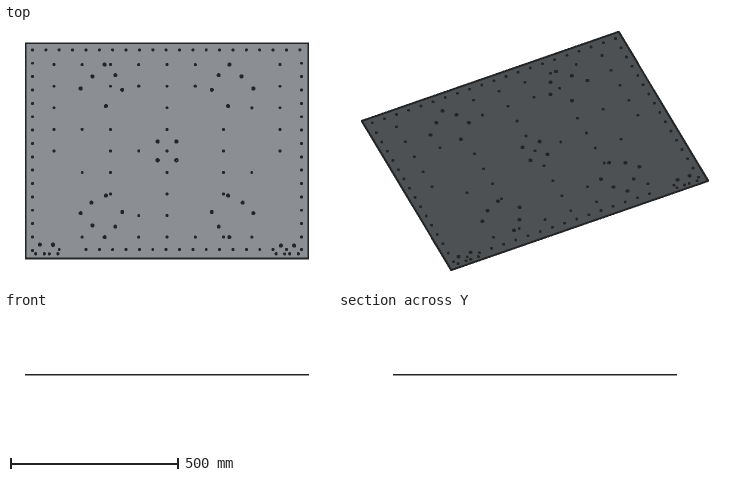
import cadquery as cq
import math

LENGTH = 845.0
WIDTH = 645.0
THICKNESS = 0.41

RIM_HOLE = 3.0
GRID_HOLE = 3.0
CLUSTER_HOLE = 6.0
CENTRE_HOLE = 6.5
BRACKET_HOLE = 3.3
CORNER_HOLE = 6.0
LARGE_CORNER_HOLE = 6.6

RIM_INSET = 20.0
TOP_COUNT = 21
TOP_ROW_SPAN = 799.0
RIM_PITCH = TOP_ROW_SPAN / (TOP_COUNT - 1)
SIDE_COUNT = 15
BOTTOM_ROW_Y = -295.0
BOTTOM_SKIPPED = (0, 1, 3, 20)

GRID_PITCH_X = LENGTH / 10
GRID_PITCH_Y = WIDTH / 10
GRID_ROWS = {
    4: (-4, -3, -2, -1, 0, 1, 4),
    3: (-4, -2, -1, 0, 1, 4),
    2: (-4, 0, 3, 4),
    1: (-4, -3, -2, 0, 2, 4),
    0: (-4, -2, -1, 0, 2, 4),
    -1: (-3, -2, 0, 2, 3),
    -2: (-2, 0, 2),
    -3: (-1, 0),
    -4: (-3, -1, 0, 1, 2, 3),
}

CLUSTER_OUTER = 314.0
CLUSTER_TIP = 315.0
CLUSTER_MIDDLE = 269.5
CLUSTER_INNER = 224.0
CLUSTER_HALF_WIDTH = 51.0
CLUSTER_INNER_HALF_WIDTH = 35.0

CENTRE_SPACING = 56.0

BRACKET_ROW_Y = -308.0
BRACKET_XS = (326.0, 351.5, 367.0, 393.0)
CORNER_OUTER_X = 380.0
CORNER_INNER_X = 340.5
LEFT_CORNER_Y = -280.5
RIGHT_CORNER_Y = -283.0


def rim_points():
    """Holes along the four edges; the right column ends on the bottom row."""
    left = -LENGTH / 2 + RIM_INSET
    top = WIDTH / 2 - RIM_INSET
    row = [left + i * RIM_PITCH for i in range(TOP_COUNT)]
    column = [top - i * RIM_PITCH for i in range(1, SIDE_COUNT + 1)]
    points = [(x, top) for x in row]
    points += [(left, y) for y in column]
    points += [(-left, y) for y in column[:-1]]
    points += [(-left, BOTTOM_ROW_Y)]
    points += [(x, BOTTOM_ROW_Y) for i, x in enumerate(row) if i not in BOTTOM_SKIPPED]
    return points


def grid_points():
    return [
        (column * GRID_PITCH_X, row * GRID_PITCH_Y)
        for row, columns in GRID_ROWS.items()
        for column in columns
    ]


def diagonal_point(along, across):
    """Point in the +X +Y quadrant; positive across leans towards +Y."""
    return ((along - across) / math.sqrt(2), (along + across) / math.sqrt(2))


def cluster_points():
    """Five shared holes in each quadrant, tips at all but the lower right, side holes below."""
    shared = [diagonal_point(CLUSTER_MIDDLE, CLUSTER_HALF_WIDTH)]
    for side in (-1, 1):
        shared.append(diagonal_point(CLUSTER_OUTER, side * CLUSTER_HALF_WIDTH))
        shared.append(diagonal_point(CLUSTER_INNER, side * CLUSTER_INNER_HALF_WIDTH))
    tip = diagonal_point(CLUSTER_TIP, 0)
    low_side = diagonal_point(CLUSTER_MIDDLE, -CLUSTER_HALF_WIDTH)

    points = []
    for side in (-1, 1):
        points += [(side * x, y) for x, y in shared + [tip]]
        points += [(side * x, -y) for x, y in shared + [low_side]]
    points.append((-tip[0], -tip[1]))
    return points


def drill(plate, points, diameter):
    """Cut through holes at the given points."""
    cutters = cq.Workplane("XY").pushPoints(points).circle(diameter / 2).extrude(THICKNESS)
    return plate.cut(cutters)


bracket_points = [(side * x, BRACKET_ROW_Y) for side in (-1, 1) for x in BRACKET_XS]
corner_points = [
    (-CORNER_OUTER_X, LEFT_CORNER_Y),
    (CORNER_INNER_X, RIGHT_CORNER_Y),
    (CORNER_OUTER_X, RIGHT_CORNER_Y),
]
large_corner_points = [(-CORNER_INNER_X, LEFT_CORNER_Y)]
centre_offset = CENTRE_SPACING / 2
centre_points = [(i * centre_offset, j * centre_offset) for i in (-1, 1) for j in (-1, 1)]

result = cq.Workplane("XY").box(LENGTH, WIDTH, THICKNESS, centered=(True, True, False))
result = drill(result, rim_points(), RIM_HOLE)
result = drill(result, grid_points(), GRID_HOLE)
result = drill(result, cluster_points(), CLUSTER_HOLE)
result = drill(result, centre_points, CENTRE_HOLE)
result = drill(result, bracket_points, BRACKET_HOLE)
result = drill(result, corner_points, CORNER_HOLE)
result = drill(result, large_corner_points, LARGE_CORNER_HOLE)